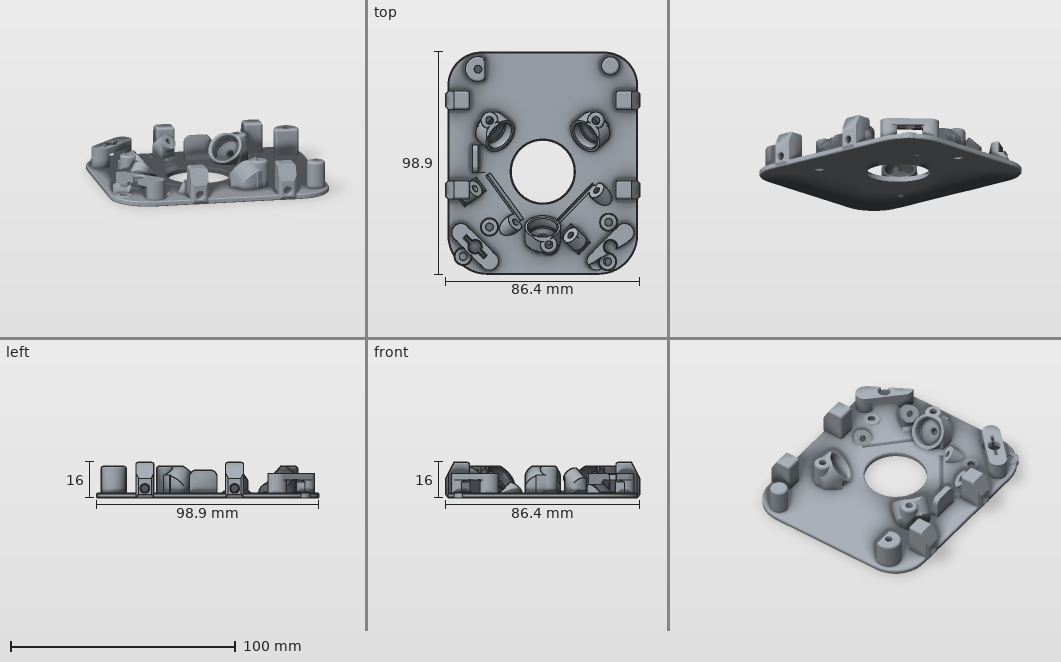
import cadquery as cq
import math

PLATE_WIDTH = 84.4
PLATE_FRONT = -45.65
PLATE_LENGTH = 98.85
PLATE_THICK = 2.3
PLATE_FRONT_CORNER_R = 17.5
PLATE_REAR_CORNER_R = 15.0
PLATE_EDGE_CHAMFER = 0.4
OPENING_D = 28.0
OPENING_CHAMFER = 0.5

LUG_SPAN = 86.4
LUG_HEIGHT = 15.96
LUG_WIDTH = 8.1
LUG_INNER_X = 32.5
LUG_TOP_X = 39.5
LUG_SLOPE_Z = 8.8
LUG_FOOT_INSET = 1.2
LUG_FOOT_RISE = 1.7
LUG_EDGE_CHAMFER = 1.2
LUG_FILLET = 1.1
LUG_CENTRES_Y = (-8.15, 31.75)
LUG_HOLE_D = 3.45
LUG_HOLE_MOUTH_D = 4.25
LUG_HOLE_Z = 4.3
LUG_HOLE_DEPTH = 6.0

POST_TOP = 14.2
POST_FILLET = 1.1
SCREW_HOLE_D = 3.4
ROUND_POST_CENTRE = (30.1, 47.05)
ROUND_POST_D = 8.0
FLAT_POST_CENTRE = (-28.8, 45.6)
FLAT_POST_R = 5.6
FLAT_POST_FLAT_X = -25.6
FLAT_POST_HOLE_DEPTH = 8.0

TILT = 40.0
CUP_AZIMUTHS = (40.0, 140.0, 270.0)
CUP_SCREW_CENTRES = ((23.65, 22.75), (-23.65, 22.75), (2.7, -32.5))
CUP_OUTER_D = 15.8
CUP_BORE_D = 12.8
CUP_SEAT_D = 12.4
CUP_SEAT_STEP = 1.0
CUP_RIM_RADIUS = 24.6
CUP_RIM_Z = 9.35
CUP_BORE_DEPTH = 5.9
CUP_LENGTH = 7.9
CUP_RIM_CHAMFER = 0.5
CUP_DRAIN_D = 3.0
CUP_DRAIN_MOUTH_D = 4.25
CUP_BACK_RADIUS = 36.0
CUP_BACK_HALF_WIDTH = 3.0
CUP_BACK_TOP = 10.2
CUP_SCREW_BOSS_R = 3.75
CUP_SCREW_HOLE_FLOOR = 9.8
FOOT_SKIRT = 0.9

SENSOR_R = 3.9
SENSOR_LENGTH = 6.8
LOW_SENSOR_LENGTH = 10.0
SENSOR_HOLE_D = 3.0
SENSOR_HOLE_DEPTH = 5.0
SENSOR_BASE_HALF_WIDTH = 2.9
WEST_AZIMUTH = 36.0
EAST_AZIMUTH = 136.0
TALL_SENSORS = (((-30.1, -7.5, 10.5), WEST_AZIMUTH), ((12.4, -28.2, 10.5), EAST_AZIMUTH))
LOW_SENSORS = (((-12.2, -22.4, 4.0), WEST_AZIMUTH), ((23.9, -8.3, 4.3), EAST_AZIMUTH))
GROOVE_DEPTHS = (0.95, 1.2)
GROOVE_WIDTHS = (2.4, 1.9)
GROOVE_LENGTHS = (25.3, 23.5)
GROOVE_OVERRUN = 1.0

BRIDGE_X = 30.1
BRIDGE_Y = -33.4
BRIDGE_R = 4.1
BRIDGE_SPACING = 17.8
BRIDGE_TOP = 11.0
BRIDGE_ROOF = 8.1
BRIDGE_GAP = 11.8
BRIDGE_GAP_CHAMFER = 1.0
BRIDGE_HOLE_D = 5.4
BRIDGE_SLOT_LENGTH = 12.0
BRIDGE_SLOT_WIDTH = 1.2
BRIDGE_FLARE = 0.5
RELIEF_START = (20.4, -41.6)
RELIEF_ANGLE = 30.5
RELIEF_Z = 6.0
RELIEF_FOOT_R = 4.2

PADS = (
    ((-23.7, -24.6), 2.0),
    ((-35.4, -37.7), 0.5),
    ((29.3, -22.5), 2.0),
    ((28.8, -40.0), 2.0),
)
RELIEF_PAD_CENTRE = PADS[3][0]
PAD_D = 8.0
PAD_HEIGHT = 0.4
PAD_CHAMFER = 0.35
PAD_HOLE_D = 3.45

TAB_X = (-31.3, -28.7)
TAB_Y = (-0.4, 11.9)
TAB_TOP = 12.5
TAB_CORNER_R = 3.0
TAB_ROOT_R = 3.0

CLEAR = 60.0

COS_TILT = math.cos(math.radians(TILT))
SIN_TILT = math.sin(math.radians(TILT))


def radial(azimuth):
    return math.cos(math.radians(azimuth)), math.sin(math.radians(azimuth))


def tilted_plane(point, azimuth):
    """Plane through point whose normal rises by TILT towards the azimuth."""
    cos_a, sin_a = radial(azimuth)
    return cq.Plane(point, (-sin_a, cos_a, 0), (cos_a * COS_TILT, sin_a * COS_TILT, SIN_TILT))


def section_plane(point, azimuth):
    """Upright plane with local x along the azimuth and local y up."""
    cos_a, sin_a = radial(azimuth)
    return cq.Plane((point[0], point[1], 0), (cos_a, sin_a, 0), (sin_a, -cos_a, 0))


def ground_plane(point, azimuth):
    cos_a, sin_a = radial(azimuth)
    return cq.Plane((point[0], point[1], 0), (cos_a, sin_a, 0), (0, 0, 1))


def cylinder_at(centre, radius, bottom, top):
    return cq.Workplane("XY", (centre[0], centre[1], bottom)).circle(radius).extrude(top - bottom)


def below_height(body, top):
    """Trim a body to the slab between the underside and the given height."""
    slab = cq.Workplane("XY").box(2 * CLEAR, 2 * CLEAR, top, centered=(True, True, False))
    return body.intersect(slab)


def make_plate():
    plate = (
        cq.Workplane("XY")
        .center(0, PLATE_FRONT + PLATE_LENGTH / 2)
        .rect(PLATE_WIDTH, PLATE_LENGTH)
        .extrude(PLATE_THICK)
        .edges("|Z and <Y")
        .fillet(PLATE_FRONT_CORNER_R)
        .edges("|Z and >Y")
        .fillet(PLATE_REAR_CORNER_R)
    )
    return plate.faces("<Z or >Z").chamfer(PLATE_EDGE_CHAMFER)


def make_opening():
    bore = cylinder_at((0, 0), OPENING_D / 2, 0, PLATE_THICK + OPENING_CHAMFER)
    return bore.union(
        cq.Workplane("XY", (0, 0, PLATE_THICK - OPENING_CHAMFER))
        .circle(OPENING_D / 2)
        .workplane(offset=OPENING_CHAMFER)
        .circle(OPENING_D / 2 + OPENING_CHAMFER)
        .loft()
    )


def make_lug(centre_y):
    """Lug on the +X side with a sloped outer face and a blind hole in it."""
    outer = LUG_SPAN / 2
    lug = (
        cq.Workplane("XZ", (0, centre_y + LUG_WIDTH / 2, 0))
        .moveTo(LUG_INNER_X, 0)
        .lineTo(outer - LUG_FOOT_INSET, 0)
        .lineTo(outer, LUG_FOOT_RISE)
        .lineTo(outer, LUG_SLOPE_Z)
        .lineTo(LUG_TOP_X, LUG_HEIGHT)
        .lineTo(LUG_INNER_X, LUG_HEIGHT)
        .close()
        .extrude(LUG_WIDTH)
    )
    lug = lug.edges("|Z and >X").chamfer(LUG_EDGE_CHAMFER)
    lug = lug.edges("|Z and <X").fillet(LUG_FILLET)
    lug = lug.faces(">Z").edges("not >X").fillet(LUG_FILLET)
    face = cq.Workplane("YZ", (outer, centre_y, LUG_HOLE_Z))
    hole = face.circle(LUG_HOLE_D / 2).extrude(-LUG_HOLE_DEPTH)
    flare = (LUG_HOLE_MOUTH_D - LUG_HOLE_D) / 2
    mouth = face.circle(LUG_HOLE_MOUTH_D / 2).workplane(offset=-flare).circle(LUG_HOLE_D / 2).loft()
    return lug.cut(hole).cut(mouth)


def make_posts():
    round_post = cylinder_at(ROUND_POST_CENTRE, ROUND_POST_D / 2, 0, POST_TOP)
    flat_post = cylinder_at(FLAT_POST_CENTRE, FLAT_POST_R, 0, POST_TOP)
    beyond_flat = cq.Workplane("XY").box(CLEAR, CLEAR, CLEAR, centered=(False, True, True))
    flat_post = flat_post.cut(beyond_flat.translate((FLAT_POST_FLAT_X, FLAT_POST_CENTRE[1], 0)))
    round_post = round_post.faces(">Z").fillet(POST_FILLET)
    flat_post = flat_post.faces(">Z").fillet(POST_FILLET)
    hole = cylinder_at(FLAT_POST_CENTRE, SCREW_HOLE_D / 2, POST_TOP - FLAT_POST_HOLE_DEPTH, POST_TOP)
    return round_post.union(flat_post.cut(hole))


def make_tab():
    tab = (
        cq.Workplane("XY")
        .box(TAB_X[1] - TAB_X[0], TAB_Y[1] - TAB_Y[0], TAB_TOP, centered=False)
        .edges("|X and >Z")
        .fillet(TAB_CORNER_R)
        .translate((TAB_X[0], TAB_Y[0], 0))
    )
    root = (
        cq.Workplane("XZ", (TAB_X[1], TAB_Y[1], PLATE_THICK))
        .lineTo(TAB_ROOT_R, 0)
        .radiusArc((0, TAB_ROOT_R), TAB_ROOT_R)
        .close()
        .extrude(TAB_Y[1] - TAB_Y[0])
    )
    return tab.union(root)


def make_tilted_body(point, azimuth, radius, length):
    """Tilted cylinder whose lower side is carried straight down to the plate."""
    cylinder = cq.Workplane(tilted_plane(point, azimuth)).circle(radius).extrude(-length)
    back = -length * COS_TILT
    back_z = point[2] - length * SIN_TILT
    underside = (
        cq.Workplane(section_plane(point, azimuth))
        .moveTo(0, 0)
        .lineTo(0, point[2])
        .lineTo(back, back_z)
        .lineTo(back, 0)
        .close()
        .extrude(radius, both=True)
    )
    rear = (
        cq.Workplane(ground_plane(point, azimuth))
        .center(back, 0)
        .ellipse(radius * SIN_TILT, radius)
        .extrude(CLEAR)
    )
    behind_back_face = cq.Workplane(tilted_plane(point, azimuth)).workplane(offset=-length)
    rear = rear.intersect(behind_back_face.rect(CLEAR, CLEAR).extrude(-CLEAR))
    return cylinder.union(underside).union(rear)


def cup_rim(azimuth):
    cos_a, sin_a = radial(azimuth)
    return (CUP_RIM_RADIUS * cos_a, CUP_RIM_RADIUS * sin_a, CUP_RIM_Z)


def make_cup(azimuth, screw_centre):
    """Bearing cup facing the opening, with its screw boss."""
    rim = cup_rim(azimuth)
    body = make_tilted_body(rim, azimuth + 180, CUP_OUTER_D / 2, CUP_LENGTH)
    back_block = (
        cq.Workplane(ground_plane((0, 0), azimuth))
        .center((CUP_RIM_RADIUS + CUP_BACK_RADIUS) / 2, 0)
        .rect(CUP_BACK_RADIUS - CUP_RIM_RADIUS, 2 * CUP_BACK_HALF_WIDTH)
        .extrude(CUP_BACK_TOP)
    )
    boss = cylinder_at(screw_centre, CUP_SCREW_BOSS_R, 0, POST_TOP).faces(">Z").fillet(POST_FILLET)
    return below_height(body.union(back_block), POST_TOP).union(boss)


def make_cup_bore(azimuth, screw_centre):
    face = cq.Workplane(tilted_plane(cup_rim(azimuth), azimuth + 180))
    bore = face.circle(CUP_BORE_D / 2).extrude(CUP_LENGTH)
    bore = bore.union(face.circle(CUP_BORE_D / 2).extrude(CUP_SEAT_STEP - CUP_BORE_DEPTH))
    bore = bore.union(face.circle(CUP_SEAT_D / 2).extrude(-CUP_BORE_DEPTH))
    flare = (
        face.circle(CUP_BORE_D / 2 + CUP_RIM_CHAMFER)
        .workplane(offset=-CUP_RIM_CHAMFER)
        .circle(CUP_BORE_D / 2)
        .loft()
    )
    floor = face.workplane(offset=-CUP_BORE_DEPTH)
    drain = floor.circle(CUP_DRAIN_D / 2).extrude(-2 * CUP_LENGTH)
    sink = (CUP_DRAIN_MOUTH_D - CUP_DRAIN_D) / 2
    mouth = floor.circle(CUP_DRAIN_MOUTH_D / 2).workplane(offset=-sink).circle(CUP_DRAIN_D / 2).loft()
    screw = cylinder_at(screw_centre, SCREW_HOLE_D / 2, CUP_SCREW_HOLE_FLOOR, POST_TOP)
    return bore.union(flare).union(drain).union(mouth).union(screw)


def make_foot_skirt(centre):
    """Conical skirt round the foot of a screw boss."""
    return (
        cq.Workplane("XY", (centre[0], centre[1], PLATE_THICK))
        .circle(CUP_SCREW_BOSS_R + FOOT_SKIRT)
        .workplane(offset=FOOT_SKIRT)
        .circle(CUP_SCREW_BOSS_R)
        .loft()
    )


def make_tall_sensor(point, azimuth):
    body = make_tilted_body(point, azimuth, SENSOR_R, SENSOR_LENGTH)
    front = SENSOR_R * SIN_TILT
    back = -SENSOR_LENGTH * COS_TILT - front
    skirt = (
        cq.Workplane(ground_plane(point, azimuth))
        .workplane(offset=PLATE_THICK)
        .center((front + back) / 2, 0)
        .rect(front - back + 2 * FOOT_SKIRT, 2 * (SENSOR_BASE_HALF_WIDTH + FOOT_SKIRT))
        .workplane(offset=FOOT_SKIRT)
        .rect(front - back, 2 * SENSOR_BASE_HALF_WIDTH)
        .loft()
    )
    return body.union(skirt)


def make_low_sensor(point, azimuth):
    cylinder = cq.Workplane(tilted_plane(point, azimuth)).circle(SENSOR_R).extrude(-LOW_SENSOR_LENGTH)
    return below_height(cylinder, CLEAR)


def make_sensor_hole(point, azimuth):
    face = cq.Workplane(tilted_plane(point, azimuth))
    return face.circle(SENSOR_HOLE_D / 2).extrude(-SENSOR_HOLE_DEPTH)


def make_groove(point, azimuth, depth, width, length):
    """V groove in the plate; one flank continues the sensor face."""
    slope = SIN_TILT / COS_TILT
    edge = (point[2] - PLATE_THICK) * slope
    return (
        cq.Workplane(section_plane(point, azimuth))
        .workplane(offset=GROOVE_OVERRUN)
        .moveTo(edge, PLATE_THICK)
        .lineTo(edge + depth * slope, PLATE_THICK - depth)
        .lineTo(edge + width, PLATE_THICK)
        .close()
        .extrude(-length)
    )


def make_bridge(side):
    """Bar on two round legs with a flared round hole; side is -1 or +1 in X."""
    centre = (side * BRIDGE_X, BRIDGE_Y)
    ground = cq.Workplane(ground_plane(centre, side * 45))
    length = BRIDGE_SPACING + 2 * BRIDGE_R
    bar = ground.workplane(offset=BRIDGE_ROOF).slot2D(length, 2 * BRIDGE_R).extrude(BRIDGE_TOP - BRIDGE_ROOF)
    legs = ground.pushPoints([(-BRIDGE_SPACING / 2, 0), (BRIDGE_SPACING / 2, 0)])
    legs = legs.circle(BRIDGE_R).extrude(BRIDGE_ROOF)
    half_gap = BRIDGE_GAP / 2
    gap = (
        cq.Workplane(section_plane(centre, side * 45))
        .moveTo(-half_gap, 0)
        .lineTo(-half_gap, BRIDGE_ROOF - BRIDGE_GAP_CHAMFER)
        .lineTo(BRIDGE_GAP_CHAMFER - half_gap, BRIDGE_ROOF)
        .lineTo(half_gap - BRIDGE_GAP_CHAMFER, BRIDGE_ROOF)
        .lineTo(half_gap, BRIDGE_ROOF - BRIDGE_GAP_CHAMFER)
        .lineTo(half_gap, 0)
        .close()
        .extrude(BRIDGE_R, both=True)
    )
    bridge = bar.union(legs.cut(gap))
    top = ground.workplane(offset=BRIDGE_TOP)
    hole = top.circle(BRIDGE_HOLE_D / 2).extrude(BRIDGE_ROOF - BRIDGE_TOP)
    flare = (
        top.circle(BRIDGE_HOLE_D / 2 + BRIDGE_FLARE)
        .workplane(offset=-BRIDGE_FLARE)
        .circle(BRIDGE_HOLE_D / 2)
        .loft()
    )
    return bridge.cut(hole).cut(flare)


def make_bridge_slot():
    """Flared slot across the hole of the left bridge."""
    top = cq.Workplane(ground_plane((-BRIDGE_X, BRIDGE_Y), -45)).workplane(offset=BRIDGE_TOP)
    slot = top.rect(BRIDGE_SLOT_LENGTH, BRIDGE_SLOT_WIDTH).extrude(BRIDGE_ROOF - BRIDGE_TOP)
    flare = (
        top.rect(BRIDGE_SLOT_LENGTH + 2 * BRIDGE_FLARE, BRIDGE_SLOT_WIDTH + 2 * BRIDGE_FLARE)
        .workplane(offset=-BRIDGE_FLARE)
        .rect(BRIDGE_SLOT_LENGTH, BRIDGE_SLOT_WIDTH)
        .loft()
    )
    return slot.union(flare)


def make_bridge_relief():
    """Upright cut along the front of the right bridge with a cone round the pad below it."""
    wall = (
        cq.Workplane(ground_plane(RELIEF_START, RELIEF_ANGLE))
        .workplane(offset=RELIEF_Z)
        .center(0, -CLEAR / 2)
        .rect(2 * CLEAR, CLEAR)
        .extrude(CLEAR)
    )
    rise = RELIEF_Z - PLATE_THICK
    cone = (
        cq.Workplane("XY", (RELIEF_PAD_CENTRE[0], RELIEF_PAD_CENTRE[1], PLATE_THICK))
        .circle(RELIEF_FOOT_R)
        .workplane(offset=rise)
        .circle(RELIEF_FOOT_R + rise)
        .loft()
    )
    return wall.union(cone)


def make_pad(centre):
    pad = cylinder_at(centre, PAD_D / 2, 0, PLATE_THICK + PAD_HEIGHT)
    return pad.faces(">Z").chamfer(PAD_CHAMFER)


body = make_plate().cut(make_opening())
for lug_y in LUG_CENTRES_Y:
    lug = make_lug(lug_y)
    body = body.union(lug).union(lug.mirror("YZ"))
body = body.union(make_posts()).union(make_tab())

for pad_centre, hole_depth in PADS:
    body = body.union(make_pad(pad_centre))
for pad_centre, hole_depth in PADS:
    pad_top = PLATE_THICK + PAD_HEIGHT
    body = body.cut(cylinder_at(pad_centre, PAD_HOLE_D / 2, pad_top - hole_depth, pad_top))

left_bridge = make_bridge(-1).cut(make_bridge_slot())
right_bridge = make_bridge(1).cut(make_bridge_relief())
body = body.union(left_bridge, clean=False)
body = body.union(right_bridge, clean=False)

for sensor_point, sensor_azimuth in TALL_SENSORS:
    body = body.union(make_tall_sensor(sensor_point, sensor_azimuth), clean=False)
for sensor_point, sensor_azimuth in LOW_SENSORS:
    body = body.union(make_low_sensor(sensor_point, sensor_azimuth), clean=False)
for (sensor_point, sensor_azimuth), depth, width, length in zip(
    LOW_SENSORS, GROOVE_DEPTHS, GROOVE_WIDTHS, GROOVE_LENGTHS
):
    groove = make_groove(sensor_point, sensor_azimuth, depth, width, length)
    body = body.cut(groove, clean=False)
for sensor_point, sensor_azimuth in TALL_SENSORS + LOW_SENSORS:
    body = body.cut(make_sensor_hole(sensor_point, sensor_azimuth), clean=False)

for cup_azimuth, cup_screw in zip(CUP_AZIMUTHS, CUP_SCREW_CENTRES):
    body = body.union(make_cup(cup_azimuth, cup_screw), clean=False)
    body = body.cut(make_cup_bore(cup_azimuth, cup_screw), clean=False)
result = body.union(make_foot_skirt(CUP_SCREW_CENTRES[2]), clean=False)